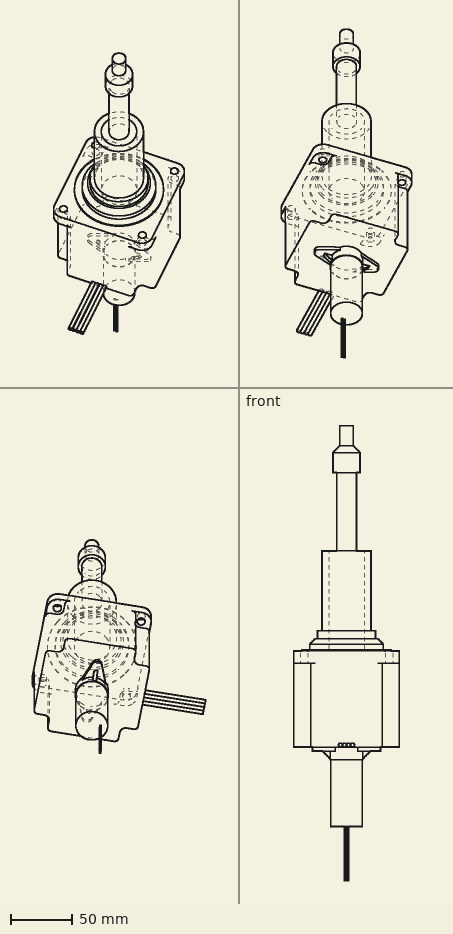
import cadquery as cq
import math


BODY_WIDTH = 86.2
BODY_BOTTOM_Z = -78.5
FLANGE_THICKNESS = 10.0
FLANGE_CORNER_RADIUS = 9.0
MOUNT_HOLE_SPACING = 69.5
MOUNT_HOLE_DIAMETER = 6.5

NOTCH_SIZE = 13.7
NOTCH_INNER_FILLET = 5.0
NOTCH_OUTER_FILLET = 3.5

PILOT_RADIUS = 36.5
PILOT_HEIGHT = 1.0
SHOULDER_RADIUS = 30.0
SHOULDER_TOP_Z = 10.0
SHOULDER_CHAMFER = 4.5
COLLAR_RADIUS = 23.8
COLLAR_TOP_Z = 16.7
GUIDE_RADIUS = 20.0
GUIDE_TOP_Z = 81.7

REAR_TUBE_RADIUS = 13.0
REAR_TUBE_BOTTOM_Z = -143.5
REAR_COLLAR_RADIUS = 13.5
REAR_COLLAR_BOTTOM_Z = -88.8
PLATE_THICKNESS = 3.5
PLATE_WAIST_RADIUS = 12.3
PLATE_END_RADIUS = 4.0
PLATE_END_OFFSET = 23.8
GUSSET_REACH = 19.7
GUSSET_WIDTH = 3.0

CABLE_WIRE_COUNT = 4
CABLE_WIRE_DIAMETER = 3.15
CABLE_WIRE_PITCH = 3.5
CABLE_LENGTH = 50.0

LEAD_COUNT = 2
LEAD_DIAMETER = 1.3
LEAD_PITCH = 2.05
LEAD_OFFSET_Y = -7.0
LEAD_BOTTOM_Z = -187.5

PISTON_RADIUS = 14.5
PISTON_LENGTH = GUIDE_TOP_Z
ROD_RADIUS = 8.0
HEAD_RADIUS = 11.0
HEAD_BOTTOM_Z = 145.5
HEAD_TOP_Z = 162.0
TIP_RADIUS = 5.5
TIP_BOTTOM_Z = HEAD_TOP_Z + HEAD_RADIUS - TIP_RADIUS
OVERALL_LENGTH = 371.5
TIP_TOP_Z = LEAD_BOTTOM_Z + OVERALL_LENGTH

HALF_WIDTH = BODY_WIDTH / 2


def cylinder(radius, bottom_z, top_z, x=0.0, y=0.0):
    """Upright cylinder between two heights."""
    return cq.Workplane("XY", origin=(x, y, bottom_z)).circle(radius).extrude(top_z - bottom_z)


def row_positions(count, pitch):
    """Coordinates of an evenly spaced row centred on zero."""
    return [(i - (count - 1) / 2) * pitch for i in range(count)]


def make_flange():
    return (
        cq.Workplane("XY")
        .rect(BODY_WIDTH, BODY_WIDTH)
        .extrude(-FLANGE_THICKNESS)
        .edges("|Z")
        .fillet(FLANGE_CORNER_RADIUS)
        .faces(">Z")
        .workplane()
        .rect(MOUNT_HOLE_SPACING, MOUNT_HOLE_SPACING, forConstruction=True)
        .vertices()
        .hole(MOUNT_HOLE_DIAMETER)
    )


def make_motor_block():
    """Square block with a square notch in every corner: filleted inside, rounded at both mouths."""
    bottom = cq.Workplane("XY", origin=(0, 0, BODY_BOTTOM_Z))
    height = -FLANGE_THICKNESS - BODY_BOTTOM_Z
    inner_width = BODY_WIDTH - 2 * NOTCH_SIZE
    core = bottom.rect(inner_width, BODY_WIDTH).extrude(height).edges("|Z").fillet(NOTCH_OUTER_FILLET)
    wings = bottom.rect(BODY_WIDTH, inner_width).extrude(height).edges("|Z").fillet(NOTCH_OUTER_FILLET)
    corner_limit = (inner_width + NOTCH_SIZE) / 2
    inner_corners = cq.selectors.BoxSelector(
        (-corner_limit, -corner_limit, BODY_BOTTOM_Z),
        (corner_limit, corner_limit, 0),
    )
    return core.union(wings).edges("|Z").edges(inner_corners).fillet(NOTCH_INNER_FILLET)


def make_front_boss():
    """Pilot, chamfered shoulder, collar and guide tube stacked on the flange."""
    shoulder = cylinder(SHOULDER_RADIUS, 0, SHOULDER_TOP_Z).faces(">Z").edges().chamfer(SHOULDER_CHAMFER)
    return (
        cylinder(PILOT_RADIUS, 0, PILOT_HEIGHT)
        .union(shoulder)
        .union(cylinder(COLLAR_RADIUS, 0, COLLAR_TOP_Z))
        .union(cylinder(GUIDE_RADIUS, 0, GUIDE_TOP_Z))
    )


def make_rear_plate():
    """Plate with round ends on the X axis, joined by flanks tangent to the waist circle."""
    flank_sine = (PLATE_WAIST_RADIUS - PLATE_END_RADIUS) / PLATE_END_OFFSET
    flank_cosine = math.sqrt(1 - flank_sine**2)
    waist_x = PLATE_WAIST_RADIUS * flank_sine
    waist_y = PLATE_WAIST_RADIUS * flank_cosine
    end_x = PLATE_END_OFFSET + PLATE_END_RADIUS * flank_sine
    end_y = PLATE_END_RADIUS * flank_cosine
    tip_x = PLATE_END_OFFSET + PLATE_END_RADIUS
    return (
        cq.Workplane("XY", origin=(0, 0, BODY_BOTTOM_Z))
        .moveTo(waist_x, waist_y)
        .lineTo(end_x, end_y)
        .threePointArc((tip_x, 0), (end_x, -end_y))
        .lineTo(waist_x, -waist_y)
        .threePointArc((0, -PLATE_WAIST_RADIUS), (-waist_x, -waist_y))
        .lineTo(-end_x, -end_y)
        .threePointArc((-tip_x, 0), (-end_x, end_y))
        .lineTo(-waist_x, waist_y)
        .threePointArc((0, PLATE_WAIST_RADIUS), (waist_x, waist_y))
        .close()
        .extrude(-PLATE_THICKNESS)
    )


def make_gussets():
    """45-degree webs between the plate and the rear collar, made as one triangle through the axis."""
    plate_bottom_z = BODY_BOTTOM_Z - PLATE_THICKNESS
    return (
        cq.Workplane("XZ")
        .moveTo(-GUSSET_REACH, plate_bottom_z)
        .lineTo(GUSSET_REACH, plate_bottom_z)
        .lineTo(0, plate_bottom_z - GUSSET_REACH)
        .close()
        .extrude(GUSSET_WIDTH / 2, both=True)
    )


def make_rear_end():
    return (
        cylinder(REAR_TUBE_RADIUS, REAR_TUBE_BOTTOM_Z, BODY_BOTTOM_Z)
        .union(cylinder(REAR_COLLAR_RADIUS, REAR_COLLAR_BOTTOM_Z, BODY_BOTTOM_Z))
        .union(make_rear_plate())
        .union(make_gussets())
    )


def make_cable_wire(x):
    wire_z = BODY_BOTTOM_Z + CABLE_WIRE_DIAMETER / 2
    return (
        cq.Workplane("XZ", origin=(x, -HALF_WIDTH, wire_z))
        .circle(CABLE_WIRE_DIAMETER / 2)
        .extrude(CABLE_LENGTH)
    )


def make_lead(x):
    return cylinder(LEAD_DIAMETER / 2, LEAD_BOTTOM_Z, REAR_TUBE_BOTTOM_Z, x, LEAD_OFFSET_Y)


def make_housing():
    """Motor, boss, rear end, cable and leads as one solid, bored for the rod's piston."""
    housing = make_flange().union(make_motor_block()).union(make_front_boss()).union(make_rear_end())
    for x in row_positions(CABLE_WIRE_COUNT, CABLE_WIRE_PITCH):
        housing = housing.union(make_cable_wire(x))
    for x in row_positions(LEAD_COUNT, LEAD_PITCH):
        housing = housing.union(make_lead(x))
    return housing.cut(cylinder(PISTON_RADIUS, GUIDE_TOP_Z - PISTON_LENGTH, GUIDE_TOP_Z))


def make_rod():
    """Revolved rod: a piston filling the guide bore, the shaft, a coned head and a thin tip."""
    return (
        cq.Workplane("XZ")
        .moveTo(0, GUIDE_TOP_Z - PISTON_LENGTH)
        .lineTo(PISTON_RADIUS, GUIDE_TOP_Z - PISTON_LENGTH)
        .lineTo(PISTON_RADIUS, GUIDE_TOP_Z)
        .lineTo(ROD_RADIUS, GUIDE_TOP_Z)
        .lineTo(ROD_RADIUS, HEAD_BOTTOM_Z)
        .lineTo(HEAD_RADIUS, HEAD_BOTTOM_Z)
        .lineTo(HEAD_RADIUS, HEAD_TOP_Z)
        .lineTo(TIP_RADIUS, TIP_BOTTOM_Z)
        .lineTo(TIP_RADIUS, TIP_TOP_Z)
        .lineTo(0, TIP_TOP_Z)
        .close()
        .revolve(360, (0, 0, 0), (0, 1, 0))
    )


housing = make_housing()
rod = make_rod()

result = cq.Compound.makeCompound([housing.solids().val(), rod.val()])